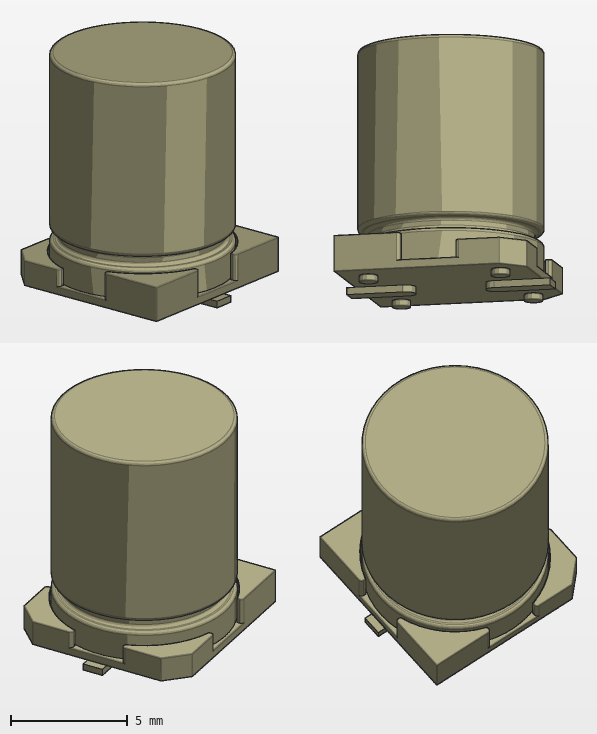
import cadquery as cq

total_height = 10.5
base_side = 8.3
leads_span = 9.0

can_diameter = 8.0
waist_diameter = 7.2
can_top_fillet = 0.15
groove_bottom = 1.9
groove_roll_radius = 0.16
waist_height = 0.21

base_bottom = 0.3
base_floor = 0.68
low_corner_top = 1.46
high_corner_top = 1.88
polarity_chamfer = 0.99
bore_diameter = 8.13
gap_width = 2.46
gap_edge_fillet = 0.15
base_edge_fillet = 0.03

lead_width = 0.95
lead_gap = 3.11
foot_diameter = 0.8
foot_offset = 2.92
foot_edge_fillet = 0.04

half_base = base_side / 2
can_radius = can_diameter / 2
waist_radius = waist_diameter / 2


def base_slab(bottom, top):
    """Square slab with its two -X corners cut off and its upright edges rounded."""
    slab = cq.Workplane("XY", origin=(0, 0, bottom)).rect(base_side, base_side).extrude(top - bottom)
    return slab.edges("|Z and <X").chamfer(polarity_chamfer).edges("|Z").fillet(base_edge_fillet)


def gap_cutter():
    """Full-height channel along X, flaring outwards in a curve at both sides of the base."""
    half_gap = gap_width / 2
    radius = gap_edge_fillet
    flare_start = half_base - radius
    diagonal = radius * 0.5 ** 0.5
    flare_centre = half_gap + radius
    flare_mid = (flare_start + diagonal, flare_centre - diagonal)
    quarter = (
        cq.Workplane("XY")
        .lineTo(half_base, 0)
        .lineTo(half_base, flare_centre)
        .threePointArc(flare_mid, (flare_start, half_gap))
        .lineTo(0, half_gap)
        .close()
        .extrude(total_height)
    )
    half = quarter.union(quarter.mirror("XZ"))
    return half.union(half.mirror("YZ"))


def corner_blocks(x_side, top):
    """The two blocks on one X side, left between the gaps around the bore, with rounded top rims."""
    bottom = (base_bottom + base_floor) / 2
    side_half = cq.Workplane("XY", origin=(x_side * half_base / 2, 0, 0)).box(
        half_base, base_side, 2 * total_height
    )
    bore = cq.Workplane("XY").circle(bore_diameter / 2).extrude(total_height)
    gap = gap_cutter()
    cross_gap = gap.rotate((0, 0, 0), (0, 0, 1), 90)
    blocks = base_slab(bottom, top).intersect(side_half).cut(bore).cut(gap).cut(cross_gap)
    return blocks.faces(">Z").edges().fillet(base_edge_fillet)


def base():
    """Plate with rounded rims and corner blocks that are lower on the cut -X corners."""
    plate = base_slab(base_bottom, base_floor).faces("<Z or >Z").edges().fillet(base_edge_fillet)
    return plate.union(corner_blocks(-1, low_corner_top)).union(corner_blocks(1, high_corner_top))


def can():
    """Revolved can; each side of the groove is a convex roll, a short flat and a concave roll."""
    roll = groove_roll_radius
    diagonal = roll * 0.5 ** 0.5
    lower_flat = groove_bottom + roll
    waist_bottom = lower_flat + roll
    waist_top = waist_bottom + waist_height
    upper_flat = waist_top + roll
    groove_top = upper_flat + roll
    outer_centre = can_radius - roll
    inner_centre = waist_radius + roll
    profile = (
        cq.Workplane("XZ")
        .moveTo(0, base_floor)
        .lineTo(can_radius, base_floor)
        .lineTo(can_radius, groove_bottom)
        .threePointArc((outer_centre + diagonal, groove_bottom + diagonal), (outer_centre, lower_flat))
        .lineTo(inner_centre, lower_flat)
        .threePointArc((inner_centre - diagonal, waist_bottom - diagonal), (waist_radius, waist_bottom))
        .lineTo(waist_radius, waist_top)
        .threePointArc((inner_centre - diagonal, waist_top + diagonal), (inner_centre, upper_flat))
        .lineTo(outer_centre, upper_flat)
        .threePointArc((outer_centre + diagonal, groove_top - diagonal), (can_radius, groove_top))
        .lineTo(can_radius, total_height)
        .lineTo(0, total_height)
        .close()
    )
    return profile.revolve(360, (0, 0), (0, 1)).faces(">Z").edges().fillet(can_top_fillet)


def lead(x_side):
    """Flat lead along X whose inner end is a half circle."""
    end_radius = lead_width / 2
    inner_centre = lead_gap / 2 + end_radius
    outer_end = leads_span / 2
    strip = (
        cq.Workplane("XY")
        .moveTo(outer_end, -end_radius)
        .lineTo(inner_centre, -end_radius)
        .threePointArc((lead_gap / 2, 0), (inner_centre, end_radius))
        .lineTo(outer_end, end_radius)
        .close()
        .extrude(base_bottom)
    )
    return strip if x_side > 0 else strip.mirror("YZ")


def feet():
    """Four round feet, one near each corner, with both rims rounded."""
    discs = (
        cq.Workplane("XY")
        .rect(2 * foot_offset, 2 * foot_offset, forConstruction=True)
        .vertices()
        .circle(foot_diameter / 2)
        .extrude(base_bottom)
    )
    return discs.edges("%CIRCLE").fillet(foot_edge_fillet)


result = base().union(can()).union(feet()).union(lead(-1)).union(lead(1))